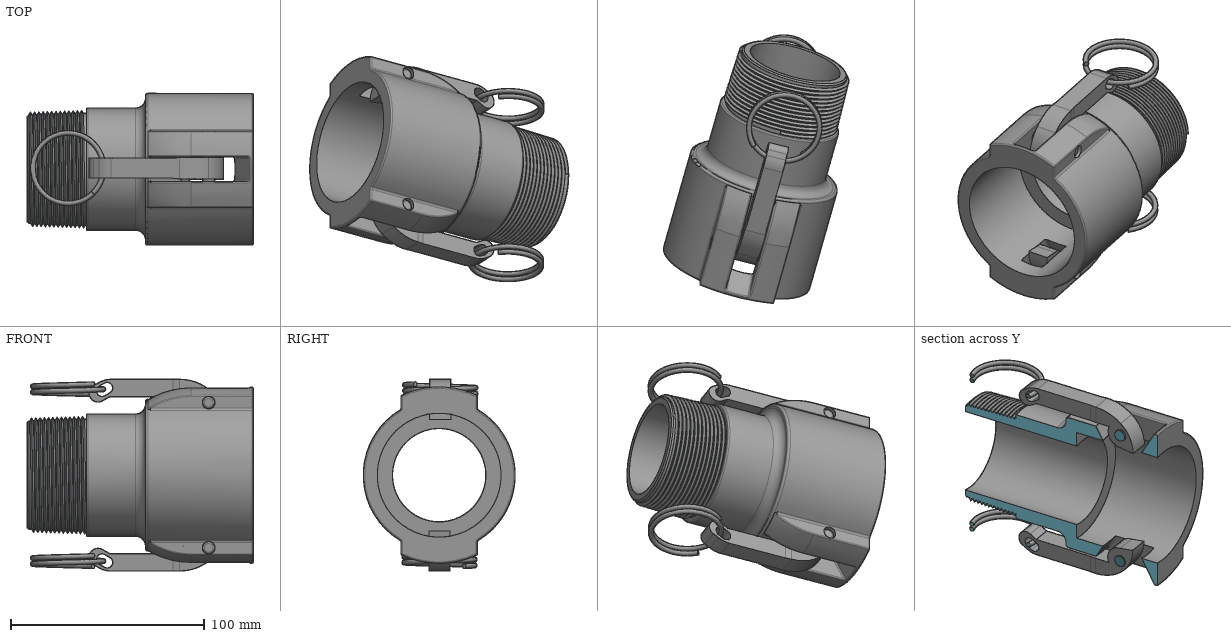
import cadquery as cq
import math


length = 117.09
bore_dia = 48.26
socket_dia = 64.14
socket_start = 68.0
neck_start = 30.6
neck_dia = 63.5
neck_edge_radius = 0.76
shell_start = 61.2
shell_dia = 78.74
shell_radius = shell_dia / 2
shell_front_radius = 1.3
shoulder_radius = 5.0
end_edge_radius = 0.76

thread_pitch = 25.4 / 11.5
thread_taper = 1 / 32
thread_taper_angle = math.degrees(math.atan(thread_taper))
core_radius = 28.1
core_end_chamfer = 0.8
thread_start = 1.66
thread_turns = 12.75
thread_depth = 1.45
thread_base = 1.8
thread_root_overlap = 0.3

lug_radius = 45.72
lug_half_width = 19.8
lug_ramp_end = 84.9
lug_ramp_foot_radius = 39.7
lug_edge_radius = 0.76
lug_foot_radius = 1.5
lug_foot_z = math.sqrt(shell_radius**2 - lug_half_width**2)

slot_width = 12.7
slot_edge_radius = 0.76
slot_foot_radius = 0.76
slot_end = 115.5
window_start = 79.4
cutter_low_z = 16.0
cutter_high_z = 50.0
window_slope = math.tan(math.radians(30))

pin_x = 94.0
pin_z = 37.6
pin_dia = 6.33
pin_length = 36.8
pin_end_radius = 0.9
pin_hole_dia = 6.55

lever_top = 49.72
lever_bottom = 40.6
handle_width = 10.4
cam_width = 11.1
widening_start = 75.6
cam_back_start = 78.9
cam_heel_radius = 7.6
cam_back_radius = 24.7
cam_tip_x = 101.7
lever_hole_dia = 6.35
neck_bend_x = 43.5
neck_bend_radius = 12.7
neck_tilt = 30.0
neck_flat = 3.2
nose_radius = 4.6
eye_width = 5.7
eye_inner_x = 38.8
eye_outer_x = 41.4

ring_x = 21.2
ring_z = 44.5
ring_radius = 18.25
wire_dia = 2.54
ring_pitch = 3.0
ring_turns = 1.75
ring_start_angle = 45.0

sides = [(0, 0.55), (180, 0.15)]


def about_x(body, angle):
    return body.rotate((0, 0, 0), (1, 0, 0), angle)


def make_thread():
    """Ridge of the tapered thread, wound along Z from the +Y side and then laid along X."""
    start_radius = core_radius + thread_start * thread_taper
    helix = cq.Wire.makeHelix(
        thread_pitch, thread_pitch * thread_turns, start_radius, angle=thread_taper_angle
    )
    half_base = thread_base / 2
    ridge = (
        cq.Workplane("XZ")
        .moveTo(start_radius - thread_root_overlap, -half_base)
        .lineTo(start_radius, -half_base)
        .lineTo(start_radius + thread_depth, 0)
        .lineTo(start_radius, half_base)
        .lineTo(start_radius - thread_root_overlap, half_base)
        .close()
        .sweep(cq.Workplane(obj=helix), isFrenet=True)
    )
    return (
        ridge.rotate((0, 0, 0), (0, 0, 1), 90)
        .rotate((0, 0, 0), (0, 1, 0), 90)
        .translate((thread_start, 0, 0))
    )


def make_shell():
    """Spigot core, neck and shell, turned about the X axis."""
    core_end_radius = core_radius + neck_start * thread_taper
    neck_radius = neck_dia / 2
    shoulder_foot = shell_start - shoulder_radius
    return (
        cq.Workplane("XY")
        .moveTo(0, 0)
        .lineTo(0, core_radius - core_end_chamfer)
        .lineTo(core_end_chamfer, core_radius)
        .lineTo(neck_start, core_end_radius)
        .lineTo(neck_start, neck_radius - neck_edge_radius)
        .radiusArc((neck_start + neck_edge_radius, neck_radius), neck_edge_radius)
        .lineTo(shoulder_foot, neck_radius)
        .radiusArc((shell_start, neck_radius + shoulder_radius), -shoulder_radius)
        .lineTo(shell_start, shell_radius - shell_front_radius)
        .radiusArc((shell_start + shell_front_radius, shell_radius), shell_front_radius)
        .lineTo(length, shell_radius)
        .lineTo(length, 0)
        .close()
        .revolve(360, (0, 0, 0), (1, 0, 0))
    )


def make_lugs():
    """Raised band with a rounded front ramp, trimmed to the lug width."""
    ramp_start = shell_start + shell_front_radius
    run = lug_ramp_end - ramp_start
    rise = lug_radius - lug_ramp_foot_radius
    ramp_radius = (run**2 + rise**2) / (2 * rise)
    band = (
        cq.Workplane("XY")
        .moveTo(ramp_start, 0)
        .lineTo(ramp_start, lug_ramp_foot_radius)
        .radiusArc((lug_ramp_end, lug_radius), ramp_radius)
        .lineTo(length, lug_radius)
        .lineTo(length, 0)
        .close()
        .revolve(360, (0, 0, 0), (1, 0, 0))
    )
    trim = cq.Workplane("XY").box(3 * length, 2 * lug_half_width, 3 * lug_radius)
    return band.intersect(trim)


def make_slot_cutter(front_top):
    """Prism with sloped end walls and rounded corners; `front_top` is its front X at the shell surface."""
    low = cutter_low_z
    high = cutter_high_z
    front_low = front_top + (shell_radius - low) * window_slope
    front_high = front_top + (shell_radius - high) * window_slope
    rear_low = slot_end + (low - lug_radius) * window_slope
    rear_high = slot_end + (high - lug_radius) * window_slope
    prism = (
        cq.Workplane("XZ")
        .polyline([(front_low, low), (rear_low, low), (rear_high, high), (front_high, high)])
        .close()
        .extrude(slot_width / 2, both=True)
    )
    return prism.edges("not (|X or |Y)").fillet(slot_edge_radius)


def edges_in(body, low, high):
    """Edges whose centers lie in the box between two corners."""
    return body.edges(cq.selectors.BoxSelector(low, high))


def make_slotted_lugs():
    """Lugs with both lever slots cut; their outer edges and slot rims are rounded."""
    lugs = make_lugs()
    slot = make_slot_cutter(0)
    for angle, _ in sides:
        lugs = lugs.cut(about_x(slot, angle))
    front = shell_start + 2 * shell_front_radius
    rear = length - end_edge_radius
    margin = 1.0
    half_width = lug_half_width + margin
    low = lug_foot_z + margin
    for low_z, high_z in ((low, lug_radius), (-lug_radius, -low)):
        low_corner = (front, -half_width, low_z)
        high_corner = (rear, half_width, high_z)
        lugs = edges_in(lugs, low_corner, high_corner).fillet(lug_edge_radius)
    return lugs


def make_foot(wall_y, outward, radius, end):
    """Concave round along the foot of an upright wall on the top of the shell.

    `outward` is +1 if the open side of the wall is towards +Y, and -1 if it is towards -Y.
    """
    overlap = 0.5
    center_y = wall_y + outward * radius
    center_distance = shell_radius + radius
    center_z = math.sqrt(center_distance**2 - center_y**2)
    shell_y = center_y * shell_radius / center_distance
    shell_z = center_z * shell_radius / center_distance
    foot_start = shell_start + 2 * shell_front_radius
    return (
        cq.Workplane("YZ", origin=(foot_start, 0, 0))
        .moveTo(wall_y - outward * overlap, center_z)
        .lineTo(wall_y, center_z)
        .radiusArc((shell_y, shell_z), -outward * radius)
        .lineTo(shell_y, shell_z - overlap)
        .lineTo(wall_y - outward * overlap, shell_z - overlap)
        .close()
        .extrude(end - foot_start)
    )


def make_housing():
    """Threaded spigot, shell and slotted lugs as one body, bored through."""
    body = make_shell().union(make_slotted_lugs())
    lug_foot = make_foot(lug_half_width, 1, lug_foot_radius, length)
    slot_foot = make_foot(slot_width / 2, -1, slot_foot_radius, pin_x)
    for angle, _ in sides:
        for foot in (lug_foot, slot_foot):
            body = body.union(about_x(foot, angle)).union(about_x(foot.mirror("XZ"), angle))
    body = body.faces(">X").edges().fillet(end_edge_radius)
    body = body.union(make_thread())
    body = body.cut(cq.Workplane("YZ").circle(bore_dia / 2).extrude(length))
    body = body.cut(
        cq.Workplane("YZ", origin=(socket_start, 0, 0)).circle(socket_dia / 2).extrude(length)
    )
    window = make_slot_cutter(window_start)
    pin_hole = (
        cq.Workplane("XZ", origin=(pin_x, 0, pin_z)).circle(pin_hole_dia / 2).extrude(length, both=True)
    )
    for angle, _ in sides:
        body = body.cut(about_x(window, angle)).cut(about_x(pin_hole, angle))
    return body


def make_pin():
    """Pivot pin with rounded ends, lying across the slot."""
    return (
        cq.Workplane("XZ", origin=(pin_x, 0, pin_z))
        .circle(pin_dia / 2)
        .extrude(pin_length / 2, both=True)
        .edges("%CIRCLE")
        .fillet(pin_end_radius)
    )


def make_lever():
    """Cam lever: tilted eye at the front, flat handle, and a wider cam around the pin."""
    tilt = math.radians(neck_tilt)
    along = cq.Vector(math.cos(tilt), math.sin(tilt))
    across = cq.Vector(-math.sin(tilt), math.cos(tilt))
    bend_center = cq.Vector(neck_bend_x, lever_top - neck_bend_radius)
    bend_end = bend_center + across * neck_bend_radius
    nose_top = bend_end - along * neck_flat
    nose_center = nose_top - across * nose_radius
    nose_tip = nose_center - along * nose_radius
    nose_bottom = nose_center - across * nose_radius
    underside_start_x = nose_bottom.x + (lever_bottom - nose_bottom.y) / math.tan(tilt)
    heel_x = pin_x - math.sqrt(cam_heel_radius**2 - (lever_bottom - pin_z) ** 2)
    back_angle = math.asin((pin_x - cam_back_start) / cam_back_radius)
    back_end_z = lever_top - cam_back_radius * (1 - math.cos(back_angle))
    tip_radius = (cam_tip_x - pin_x) / (1 - math.sin(back_angle))
    tip_z = back_end_z - tip_radius * math.cos(back_angle)
    side_profile = (
        cq.Workplane("XZ", origin=(0, cam_width, 0))
        .moveTo(neck_bend_x, lever_top)
        .radiusArc(bend_end.toTuple()[:2], -neck_bend_radius)
        .lineTo(nose_top.x, nose_top.y)
        .threePointArc(nose_tip.toTuple()[:2], nose_bottom.toTuple()[:2])
        .lineTo(underside_start_x, lever_bottom)
        .lineTo(heel_x, lever_bottom)
        .radiusArc((pin_x, pin_z - cam_heel_radius), -cam_heel_radius)
        .lineTo(cam_tip_x, tip_z)
        .radiusArc((pin_x, back_end_z), -tip_radius)
        .radiusArc((cam_back_start, lever_top), -cam_back_radius)
        .close()
        .extrude(2 * cam_width)
    )
    half_handle = handle_width / 2
    half_cam = cam_width / 2
    plan = (
        cq.Workplane("XY")
        .moveTo(0, half_handle)
        .lineTo(widening_start, half_handle)
        .lineTo(cam_back_start, half_cam)
        .lineTo(length, half_cam)
        .lineTo(length, 0)
        .lineTo(0, 0)
        .close()
        .extrude(2 * lever_top)
    )
    plan = plan.union(plan.mirror("XZ"))
    eye_length = (eye_outer_x - eye_inner_x) / math.cos(tilt) + eye_width
    eye_offset = ((eye_inner_x + eye_outer_x) / 2 - nose_center.x) / math.cos(tilt)
    eye_center = nose_center + along * eye_offset
    eye = (
        cq.Workplane("XZ")
        .center(eye_center.x, eye_center.y)
        .slot2D(eye_length, eye_width, neck_tilt)
        .extrude(cam_width, both=True)
    )
    pin_hole = (
        cq.Workplane("XZ", origin=(pin_x, 0, pin_z))
        .circle(lever_hole_dia / 2)
        .extrude(cam_width, both=True)
    )
    return side_profile.intersect(plan).cut(eye).cut(pin_hole)


def make_ring():
    """Split ring of round wire; the middle of its winding passes through the lever eye."""
    height = ring_pitch * ring_turns
    helix = cq.Wire.makeHelix(ring_pitch, height, ring_radius)
    wire = (
        cq.Workplane("XZ")
        .center(ring_radius, 0)
        .circle(wire_dia / 2)
        .sweep(cq.Workplane(obj=helix), isFrenet=True)
    )
    return wire.rotate((0, 0, 0), (0, 0, 1), ring_start_angle).translate((ring_x, 0, ring_z - height / 2))


housing = make_housing()
pins = []
levers = []
rings = []
for angle, side_play in sides:
    play = (0, side_play, 0)
    pins.append(about_x(make_pin(), angle).val())
    levers.append(about_x(make_lever(), angle).translate(play).val())
    rings.append(about_x(make_ring(), angle).translate(play).val())

result = cq.Compound.makeCompound([housing.val(), *pins, *levers, *rings])